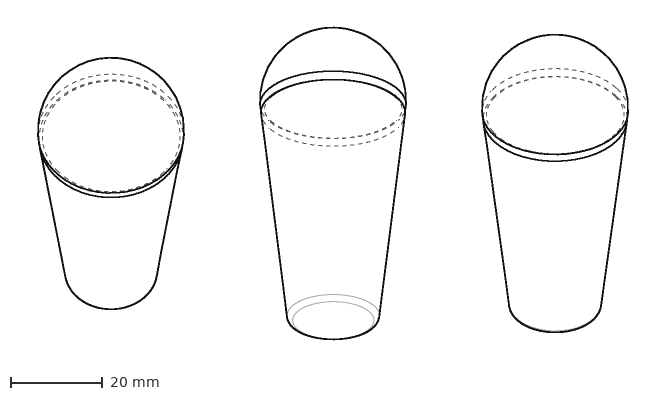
import cadquery as cq
import math

total_height = 70.0
ball_radius = 16.0
base_radius = 10.0
base_fillet = 1.25

groove_radius = 1.0
groove_height = 52.0
groove_center_radius = 16.05

ball_center_height = total_height - ball_radius
corner_to_center = math.hypot(base_radius, ball_center_height)
taper_angle = math.asin(ball_radius / corner_to_center) - math.atan2(base_radius, ball_center_height)


def point_on_ball(elevation):
    """Profile point (radius, height) on the ball at an elevation in radians."""
    return (
        ball_radius * math.cos(elevation),
        ball_center_height + ball_radius * math.sin(elevation),
    )


def make_body():
    """Tapered grip with a domed head, as one revolved profile."""
    profile = (
        cq.Workplane("XZ")
        .lineTo(base_radius, 0)
        .lineTo(*point_on_ball(-taper_angle))
        .threePointArc(point_on_ball(math.pi / 4), (0, total_height))
        .close()
    )
    return profile.revolve(360, (0, 0), (0, 1))


def make_groove_ring():
    """Round-section ring that cuts the groove."""
    section = cq.Workplane("XZ").center(groove_center_radius, groove_height).circle(groove_radius)
    return section.revolve(360, (-groove_center_radius, 0), (-groove_center_radius, 1))


body = make_body().faces("<Z").edges().fillet(base_fillet)
result = body.cut(make_groove_ring())